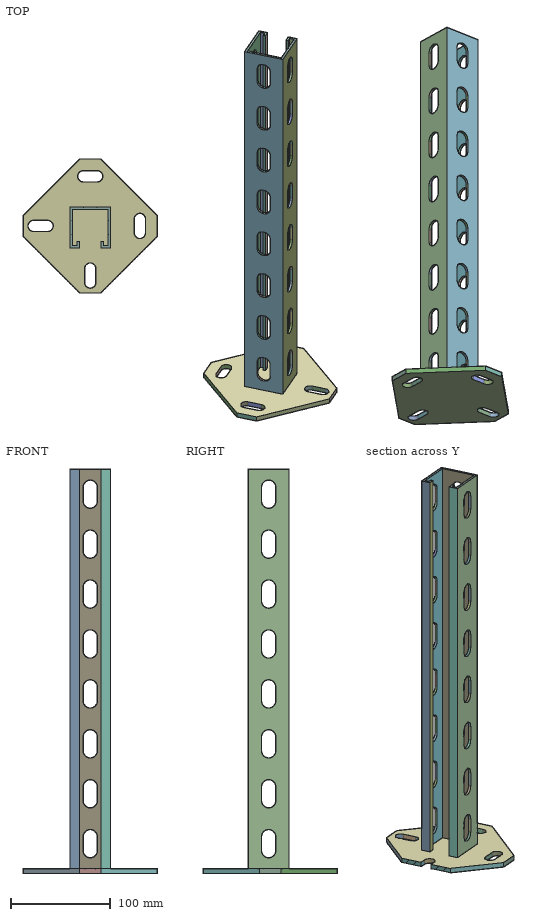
import cadquery as cq

plate_side = 110.0
plate_corner_cut = 15.0
plate_thickness = 5.0
anchor_slot_length = 25.0
anchor_slot_width = 11.0
anchor_slot_offset = 49.7

post_width = 41.0
post_depth = 41.0
post_length = 400.0
post_center_y = -1.6
wall = 2.5
mouth_width = 22.0
lip_return = 6.5

post_slot_length = 28.0
post_slot_width = 14.0
post_slot_pitch = 50.0
post_slot_count = int(post_length / post_slot_pitch)


def make_base_plate():
    plate = (
        cq.Workplane("XY")
        .rect(plate_side, plate_side)
        .extrude(plate_thickness)
        .edges("|Z")
        .chamfer(plate_corner_cut)
        .rotate((0, 0, 0), (0, 0, 1), 45)
    )
    anchor_slots = [
        (-anchor_slot_offset, 0, 0),
        (0, anchor_slot_offset, 0),
        (anchor_slot_offset, 0, 90),
        (0, -anchor_slot_offset, 90),
    ]
    for x, y, angle in anchor_slots:
        slot = (
            cq.Workplane("XY")
            .center(x, y)
            .slot2D(anchor_slot_length, anchor_slot_width, angle)
            .extrude(plate_thickness)
        )
        plate = plate.cut(slot)
    return plate


def channel_blank():
    """Channel with inward lips, each turned back into the channel."""
    half_width = post_width / 2
    half_mouth = mouth_width / 2
    back = post_center_y + post_depth / 2
    front = post_center_y - post_depth / 2
    right_half = [
        (0, back),
        (half_width, back),
        (half_width, front),
        (half_mouth, front),
        (half_mouth, front + lip_return),
        (half_mouth + wall, front + lip_return),
        (half_mouth + wall, front + wall),
        (half_width - wall, front + wall),
        (half_width - wall, back - wall),
        (0, back - wall),
    ]
    return (
        cq.Workplane("XY", origin=(0, 0, plate_thickness))
        .polyline(right_half)
        .mirrorY()
        .extrude(post_length)
    )


def post_slot_cutters(plane, origin, depth, both):
    """Column of upright slots, one in the middle of each pitch."""
    first_height = plate_thickness + post_slot_pitch / 2
    centers = [(0, first_height + i * post_slot_pitch) for i in range(post_slot_count)]
    return (
        cq.Workplane(plane, origin=origin)
        .pushPoints(centers)
        .slot2D(post_slot_length, post_slot_width, 90)
        .extrude(depth, both=both)
    )


def make_post():
    side_slots = post_slot_cutters("YZ", (0, post_center_y, 0), post_width / 2, True)
    back = post_center_y + post_depth / 2
    web_slots = post_slot_cutters("XZ", (0, back, 0), wall, False)
    return channel_blank().cut(side_slots).cut(web_slots)


base_plate = make_base_plate()
post = make_post()
result = cq.Compound.makeCompound([base_plate.val(), post.val()])